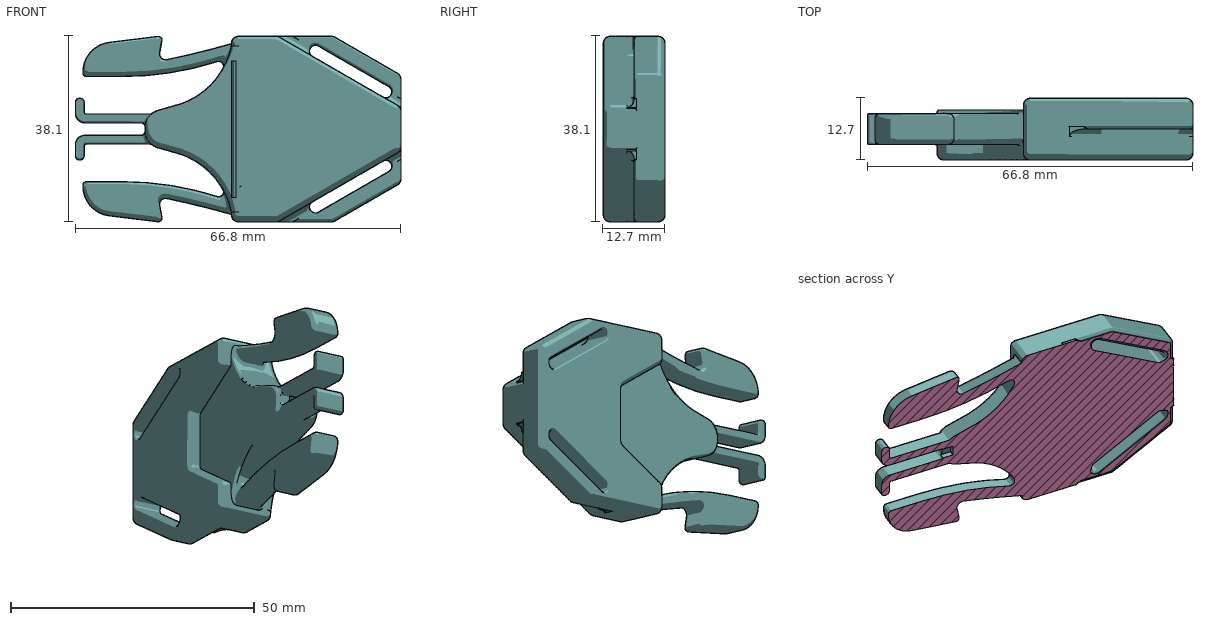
import cadquery as cq
import math

LENGTH = 66.8
THICKNESS = 12.7
WIDTH = 38.1
FRONT = -THICKNESS / 2
BACK = THICKNESS / 2
HALF_WIDTH = WIDTH / 2

BODY_START = 32.0
TAPER_ANGLE = math.radians(30)
TAPER = math.tan(TAPER_ANGLE)
EDGE_RADIUS = 1.5
FUSE_OVERLAP = 0.5
BLOCK_TAPER_START = 41.5
PLATE_TAPER_START = 52.9
BLOCK_BACK = 3.0
PLATE_FRONT = 0.0
PLATE_EDGE_RADIUS = 0.75

SLOT_WIDTH = 2.4
SLOT_START = 47.6
SLOT_END = 64.1
SLOT_CORNER_RADIUS = 1.15
SLOT_FRONT = PLATE_FRONT - EDGE_RADIUS
SLOT_FRONT_EDGE_RADIUS = 0.6
SLOT_BACK_EDGE_RADIUS = 0.5

POCKET_FLOOR = 3.94
POCKET_MOUTH_HALF = 12.85
POCKET_END_HALF = 5.95
POCKET_CORNER_RADIUS = 1.25

TONGUE_TIP = 14.3
TONGUE_TIP_FLAT_HALF = 0.3
TONGUE_TIP_RADIUS = 3.7
TONGUE_FLANK_ANGLE = math.radians(16)
TONGUE_FLANK_END = 21.6
TONGUE_ROOT_HALF = 17.0
TONGUE_WAIST = (28.0, 9.3)
TONGUE_FRONT_RADIUS = 1.4
TONGUE_BACK_RADIUS = 0.55
TIP_HOLE = 2.15
TIP_HOLE_DEPTH = 2.0
GROOVE_WIDTH = 1.0
GROOVE_BOTTOM = 0.35
GROOVE_DEPTH = 0.3
GROOVE_HALF = 14.0

ARM_THICKNESS = 6.35
ARM_TIP = 1.6
ARM_INNER = 10.75
ARM_INNER_END = 9.5
ARM_OUTER_BOW = (25.4, 15.75)
ARM_ROOT_INNER = 15.4
ARM_ROOT_OUTER = 17.95
ARM_TIP_RADIUS = 0.8
ARM_EDGE_RADIUS = 1.2
ARM_NOSE_END = (7.0, 17.8)
HOOK_CORNER = (18.0, 19.15)
HOOK_ROOT = (17.0, 13.9)
HOOK_ROOT_RADIUS = 1.2
HOOK_TIP_RADIUS = 0.8
ARM_ROOT_CORNER = (31.3, 0, 14.55)
ARM_ROOT_RADIUS = 1.0
OVERLAP = 1.5

PIN_INNER = 1.25
PIN_WIDTH = 1.85
PIN_HOOK_TOP = 6.35
PIN_BEND_RADIUS = 2.0
PIN_INNER_BEND_RADIUS = 0.4
PIN_HOOK_TIP_RADIUS = 0.9
PIN_EDGE_RADIUS = 0.4
PIN_ROOT = 17.0
PIN_ROOT_CORNER = (14.42, 0, PIN_INNER)
PIN_ROOT_RADIUS = 0.8


def prism(outline, y_front, y_back):
    """Extrude a closed XZ outline between two Y levels."""
    return outline.extrude(y_back - y_front)


def sketch_at(y_back):
    return cq.Workplane("XZ", origin=(0, y_back, 0))


def tapered_outline(y_back, taper_start):
    """Full-width outline that narrows at 30 degrees towards the far end."""
    end_half = HALF_WIDTH - (LENGTH - taper_start) * TAPER
    return sketch_at(y_back).polyline([
        (BODY_START, -HALF_WIDTH),
        (taper_start, -HALF_WIDTH),
        (LENGTH, -end_half),
        (LENGTH, end_half),
        (taper_start, HALF_WIDTH),
        (BODY_START, HALF_WIDTH),
    ]).close()


def with_mirror(shape):
    return shape.union(shape.mirror("XY"))


def make_block():
    """Thick front part of the body, rounded at the front."""
    block = prism(tapered_outline(BLOCK_BACK, BLOCK_TAPER_START), FRONT, BLOCK_BACK)
    block = block.edges("|Y").fillet(EDGE_RADIUS)
    return block.faces("<Y").edges().fillet(EDGE_RADIUS)


def make_plate():
    """Wider back plate that carries the strap bars."""
    plate = prism(tapered_outline(BACK, PLATE_TAPER_START), PLATE_FRONT, BACK)
    plate = plate.edges("|Y").fillet(EDGE_RADIUS)
    plate = plate.faces(">Y").edges().fillet(EDGE_RADIUS)
    return plate.faces("<Y").edges().fillet(PLATE_EDGE_RADIUS)


def wall_frame(x, y):
    """Plane at X on the upper tapered wall: local X along the wall, local Y square to it, outwards."""
    z = HALF_WIDTH - (x - BLOCK_TAPER_START) * TAPER
    return cq.Plane(
        origin=(x, y, z),
        xDir=(math.cos(TAPER_ANGLE), 0, -math.sin(TAPER_ANGLE)),
        normal=(0, -1, 0),
    )


def make_wall_fillets():
    """Concave fillets where the tapered walls meet the plate, ending inside the outline."""
    run = (LENGTH - BLOCK_TAPER_START) / math.cos(TAPER_ANGLE)
    frame = wall_frame(BLOCK_TAPER_START, PLATE_FRONT)
    profile_plane = cq.Plane(origin=frame.origin, xDir=frame.yDir, normal=frame.xDir)
    sag = EDGE_RADIUS * (1 - math.sqrt(0.5))
    profile = (
        cq.Workplane(profile_plane)
        .moveTo(-FUSE_OVERLAP, -FUSE_OVERLAP)
        .lineTo(-FUSE_OVERLAP, EDGE_RADIUS)
        .lineTo(0, EDGE_RADIUS)
        .threePointArc((sag, sag), (EDGE_RADIUS, 0))
        .lineTo(EDGE_RADIUS, -FUSE_OVERLAP)
        .close()
    )
    strip = profile.extrude(run)
    envelope = prism(tapered_outline(BACK, PLATE_TAPER_START), FRONT, BACK)
    return with_mirror(strip.intersect(envelope))


def make_slots():
    """Strap slots that run flush along the tapered walls and through the plate."""
    run = (SLOT_END - SLOT_START) / math.cos(TAPER_ANGLE)
    slot = (
        cq.Workplane(wall_frame(SLOT_START, BACK))
        .rect(run, SLOT_WIDTH, centered=False)
        .extrude(BACK - SLOT_FRONT)
        .edges("|Y")
        .fillet(SLOT_CORNER_RADIUS)
    )
    return with_mirror(slot)


def make_pocket():
    """Recess in the back whose walls close in parallel to the tapered walls."""
    depth = (POCKET_MOUTH_HALF - POCKET_END_HALF) / TAPER
    pocket_end = BODY_START + depth
    pocket = sketch_at(BACK).polyline([
        (BODY_START, -POCKET_MOUTH_HALF),
        (pocket_end, -POCKET_END_HALF),
        (pocket_end, POCKET_END_HALF),
        (BODY_START, POCKET_MOUTH_HALF),
    ]).close().extrude(BACK - POCKET_FLOOR)
    return pocket.edges("|Y and >X").fillet(POCKET_CORNER_RADIUS)


def make_tongue():
    """Bell-shaped tongue with a round tip and hollow flanks."""
    tip_arc_angle = math.pi / 2 - TONGUE_FLANK_ANGLE

    def tip_point(angle):
        return (
            TONGUE_TIP + TONGUE_TIP_RADIUS * (1 - math.cos(angle)),
            TONGUE_TIP_FLAT_HALF + TONGUE_TIP_RADIUS * math.sin(angle),
        )

    def mirrored(point):
        return (point[0], -point[1])

    arc_start = tip_point(0)
    arc_middle = tip_point(tip_arc_angle / 2)
    arc_end = tip_point(tip_arc_angle)
    flank_rise = (TONGUE_FLANK_END - arc_end[0]) * math.tan(TONGUE_FLANK_ANGLE)
    flank_end = (TONGUE_FLANK_END, arc_end[1] + flank_rise)
    root = (BODY_START, TONGUE_ROOT_HALF)
    outline = (
        sketch_at(POCKET_FLOOR)
        .moveTo(*mirrored(arc_start))
        .lineTo(*arc_start)
        .threePointArc(arc_middle, arc_end)
        .lineTo(*flank_end)
        .threePointArc(TONGUE_WAIST, root)
        .lineTo(BODY_START + OVERLAP, TONGUE_ROOT_HALF)
        .lineTo(BODY_START + OVERLAP, -TONGUE_ROOT_HALF)
        .lineTo(*mirrored(root))
        .threePointArc(mirrored(TONGUE_WAIST), mirrored(flank_end))
        .lineTo(*mirrored(arc_end))
        .threePointArc(mirrored(arc_middle), mirrored(arc_start))
        .close()
    )
    tongue = prism(outline, FRONT, POCKET_FLOOR)
    flanks = cq.selectors.BoxSelector(
        (0, -THICKNESS, -HALF_WIDTH),
        (BODY_START, THICKNESS, HALF_WIDTH),
    )
    tongue = tongue.faces("<Y").edges(flanks).fillet(TONGUE_FRONT_RADIUS)
    return tongue.faces(">Y").edges(flanks).fillet(TONGUE_BACK_RADIUS)


def make_arm():
    """Upper springy latch arm with its hooked head."""
    root_x = BODY_START + OVERLAP
    outline = (
        sketch_at(ARM_THICKNESS / 2)
        .moveTo(ARM_TIP, ARM_INNER)
        .lineTo(ARM_INNER_END, ARM_INNER)
        .tangentArcPoint((root_x, ARM_ROOT_INNER), relative=False)
        .lineTo(root_x, ARM_ROOT_OUTER)
        .threePointArc(ARM_OUTER_BOW, HOOK_ROOT)
        .lineTo(*HOOK_CORNER)
        .lineTo(*ARM_NOSE_END)
        .tangentArcPoint((ARM_TIP, ARM_INNER), relative=False)
        .close()
    )
    arm = prism(outline, -ARM_THICKNESS / 2, ARM_THICKNESS / 2)

    def upright_at(point):
        return cq.selectors.NearestToPointSelector((point[0], 0, point[1]))

    arm = arm.edges("|Y").edges(upright_at(HOOK_ROOT)).fillet(HOOK_ROOT_RADIUS)
    arm = arm.edges("|Y").edges(upright_at(HOOK_CORNER)).fillet(HOOK_TIP_RADIUS)
    arm = arm.edges("|Y").edges(upright_at((ARM_TIP, ARM_INNER))).fillet(ARM_TIP_RADIUS)
    return arm.faces("<Y or >Y").edges(
        cq.selectors.BoxSelector((0, -BACK, 0), (BODY_START, BACK, WIDTH))
    ).fillet(ARM_EDGE_RADIUS)


def make_pin():
    """Upper slim pin, bent outwards at its end."""
    outer = PIN_INNER + PIN_WIDTH
    outline = sketch_at(ARM_THICKNESS / 2).polyline([
        (0, PIN_INNER),
        (PIN_ROOT, PIN_INNER),
        (PIN_ROOT, outer),
        (PIN_WIDTH, outer),
        (PIN_WIDTH, PIN_HOOK_TOP),
        (0, PIN_HOOK_TOP),
    ]).close()
    pin = prism(outline, -ARM_THICKNESS / 2, ARM_THICKNESS / 2)
    pin = pin.edges("|Y and <X and <Z").fillet(PIN_BEND_RADIUS)
    bend = cq.selectors.NearestToPointSelector((PIN_WIDTH, 0, outer))
    pin = pin.edges("|Y").edges(bend).fillet(PIN_INNER_BEND_RADIUS)
    pin = pin.edges("|Y and >Z").fillet(PIN_HOOK_TIP_RADIUS)
    return pin.faces("<Y or >Y").edges().fillet(PIN_EDGE_RADIUS)


def make_tip_hole():
    """Square recess, cut clear of the pin root fillets in front of the tip."""
    start = TONGUE_TIP - PIN_ROOT_RADIUS
    end = TONGUE_TIP + TIP_HOLE_DEPTH
    return cq.Workplane("YZ", origin=(start, 0, 0)).rect(TIP_HOLE, TIP_HOLE).extrude(end - start)


def make_groove():
    """Shallow V groove in the front face, steeper on the tongue side."""
    return (
        cq.Workplane("XY", origin=(BODY_START, FRONT, -GROOVE_HALF))
        .lineTo(GROOVE_BOTTOM, GROOVE_DEPTH)
        .lineTo(GROOVE_WIDTH, 0)
        .close()
        .extrude(2 * GROOVE_HALF)
    )


def fillet_edge_near(part, point, radius):
    """Fillet the edge next to an (X, Y, Z) point and its twin across the mid plane."""
    x, y, z = point
    upper = cq.selectors.NearestToPointSelector((x, y, z))
    lower = cq.selectors.NearestToPointSelector((x, y, -z))
    return part.edges(upper + lower).fillet(radius)


def make_body():
    """Block and plate with the pocket and the strap slots, slot and mouth edges rounded."""
    body = make_block().union(make_plate()).union(make_wall_fillets())
    body = body.cut(make_slots()).cut(make_pocket())
    mouth_mid_y = (POCKET_FLOOR + BACK - EDGE_RADIUS) / 2
    body = fillet_edge_near(body, (BODY_START, mouth_mid_y, POCKET_MOUTH_HALF), POCKET_CORNER_RADIUS)
    slot_mid_x = (SLOT_START + SLOT_END) / 2
    wall_z = HALF_WIDTH - (slot_mid_x - BLOCK_TAPER_START) * TAPER
    slot_edge_z = wall_z + SLOT_WIDTH / math.cos(TAPER_ANGLE)
    body = fillet_edge_near(body, (slot_mid_x, PLATE_FRONT, slot_edge_z), SLOT_FRONT_EDGE_RADIUS)
    return fillet_edge_near(body, (slot_mid_x, BACK, slot_edge_z), SLOT_BACK_EDGE_RADIUS)


def make_tongue_with_pins():
    """Tongue with both pins, blended together at the pin roots."""
    tongue = make_tongue().union(with_mirror(make_pin()))
    return fillet_edge_near(tongue, PIN_ROOT_CORNER, PIN_ROOT_RADIUS)


result = make_body().union(make_tongue_with_pins()).union(with_mirror(make_arm()))
result = fillet_edge_near(result, ARM_ROOT_CORNER, ARM_ROOT_RADIUS)
result = result.cut(make_tip_hole()).cut(make_groove())